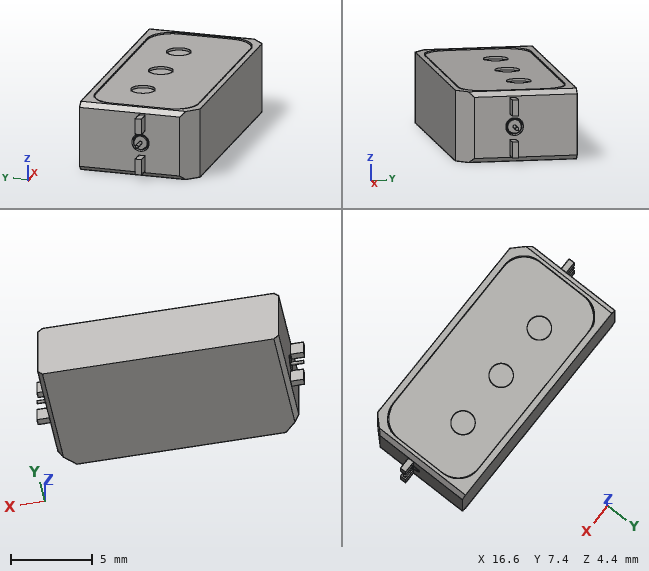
import cadquery as cq

OVERALL_LENGTH = 16.6
TERMINAL_LENGTH = 0.8
HOUSING_LENGTH = OVERALL_LENGTH - 2 * TERMINAL_LENGTH
HOUSING_WIDTH = 7.4
HOUSING_HEIGHT = 4.4
CORNER_CHAMFER = 1.0
END_CHAMFER = 0.3

POCKET_LENGTH = 14.0
POCKET_WIDTH = 6.6
POCKET_RADIUS = 1.5
LID_CLEARANCE = 0.02
LID_RADIUS = 1.61
LID_RECESS = 0.07
LID_THICKNESS = 0.5
POCKET_DEPTH = LID_RECESS + LID_THICKNESS

DIMPLE_DIAMETER = 1.5
DIMPLE_DEPTH = 0.15
DIMPLE_PITCH = 3.75
DIMPLE_COUNT = 3
DIMPLE_Y = 0.78

PIN_DIAMETER = 0.2
PIN_Y = -0.2
TAB_WIDTH = 0.4
TAB_HEIGHT = 1.0
TAB_Y = -0.3
TAB_EDGE_GAP = 0.4
TAB_Z = HOUSING_HEIGHT / 2 - TAB_EDGE_GAP - TAB_HEIGHT / 2

GROOVE_OUTER_DIAMETER = 0.95
GROOVE_INNER_DIAMETER = 0.86
GROOVE_MOUTH_DIAMETER = 1.1
GROOVE_CHAMFER = (GROOVE_MOUTH_DIAMETER - GROOVE_OUTER_DIAMETER) / 2
GROOVE_DEPTH = 0.2


def rounded_block(length, width, height, radius, top_z):
    """Block with rounded vertical edges whose top face lies at top_z."""
    return (
        cq.Workplane("XY", origin=(0, 0, top_z - height))
        .rect(length, width)
        .extrude(height)
        .edges("|Z")
        .fillet(radius)
    )


def housing_block():
    block = cq.Workplane("XY").box(HOUSING_LENGTH, HOUSING_WIDTH, HOUSING_HEIGHT)
    block = block.faces("<X or >X").edges("|Y").chamfer(END_CHAMFER)
    corner_x = HOUSING_LENGTH / 2
    corner_y = -HOUSING_WIDTH / 2
    for side in (-1, 1):
        corner = (
            cq.Workplane("XY", origin=(0, 0, -HOUSING_HEIGHT / 2))
            .moveTo(side * corner_x, corner_y)
            .lineTo(side * corner_x, corner_y + CORNER_CHAMFER)
            .lineTo(side * (corner_x - CORNER_CHAMFER), corner_y)
            .close()
            .extrude(HOUSING_HEIGHT)
        )
        block = block.cut(corner)
    return block


def end_plane(side):
    """Workplane on an end face, centred on the pin axis and facing outward along side * X."""
    origin = (side * HOUSING_LENGTH / 2, PIN_Y, 0)
    return cq.Workplane(cq.Plane(origin=origin, xDir=(0, 1, 0), normal=(side, 0, 0)))


def pin_groove(side):
    """Material to remove for the ring groove and its outer chamfer."""
    hole = end_plane(side).circle(GROOVE_OUTER_DIAMETER / 2).extrude(-GROOVE_DEPTH)
    chamfer = (
        end_plane(side)
        .circle(GROOVE_MOUTH_DIAMETER / 2)
        .workplane(offset=-GROOVE_CHAMFER)
        .circle(GROOVE_OUTER_DIAMETER / 2)
        .loft()
    )
    island = end_plane(side).circle(GROOVE_INNER_DIAMETER / 2).extrude(-GROOVE_DEPTH)
    return hole.union(chamfer).cut(island)


def pin(side):
    return end_plane(side).circle(PIN_DIAMETER / 2).extrude(TERMINAL_LENGTH)


def tab(side, level):
    center_x = side * (HOUSING_LENGTH + TERMINAL_LENGTH) / 2
    return (
        cq.Workplane("XY")
        .box(TERMINAL_LENGTH, TAB_WIDTH, TAB_HEIGHT)
        .translate((center_x, TAB_Y, level * TAB_Z))
    )


def make_housing():
    top_z = HOUSING_HEIGHT / 2
    housing = housing_block().cut(
        rounded_block(POCKET_LENGTH, POCKET_WIDTH, POCKET_DEPTH, POCKET_RADIUS, top_z)
    )
    for side in (-1, 1):
        housing = housing.cut(pin_groove(side)).union(pin(side))
        for level in (-1, 1):
            housing = housing.union(tab(side, level))
    return housing


def make_lid():
    top_z = HOUSING_HEIGHT / 2 - LID_RECESS
    lid = rounded_block(
        POCKET_LENGTH - 2 * LID_CLEARANCE,
        POCKET_WIDTH - 2 * LID_CLEARANCE,
        LID_THICKNESS,
        LID_RADIUS,
        top_z,
    )
    dimples = (
        cq.Workplane("XY", origin=(0, DIMPLE_Y, top_z - DIMPLE_DEPTH))
        .rarray(DIMPLE_PITCH, 0.17, DIMPLE_COUNT, 1)
        .circle(DIMPLE_DIAMETER / 2)
        .extrude(DIMPLE_DEPTH)
    )
    return lid.cut(dimples)


housing = make_housing()
lid = make_lid()

result = cq.Compound.makeCompound([housing.val(), lid.val()])